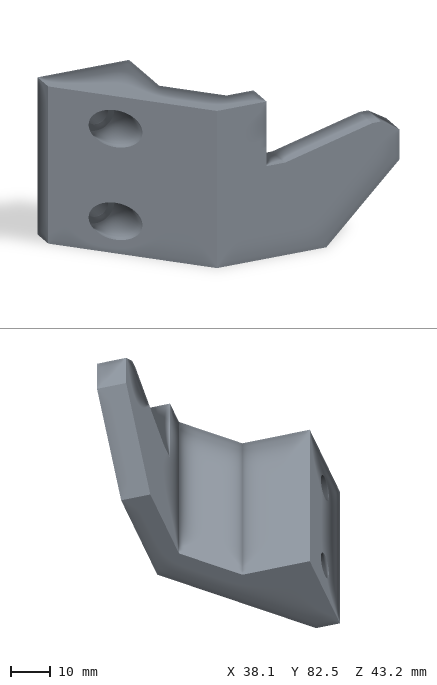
import cadquery as cq

width = 38.1
length = 82.55
height = 43.2

front_flat = 6.3
arm_thickness = 7.7
block_length = 25.4
web_rise = 12.7
arm_inner_x = width - arm_thickness
block_back_x = arm_inner_x - web_rise
slope_end_y = width - front_flat

step_y = 45.65
ledge_z = 25.4
ramp_start_y = 50.85
ramp_end_y = 74.95
nose_y = 77.4
nose_z = 31.7
tip_top_z = 28.6
underside_cut = 20.3

hole_diameter = 6.6
counterbore_diameter = 10.15
counterbore_floor_x = 7.6
hole_y = block_length / 2
hole_pitch = 25.4
lower_hole_z = 8.8


def plan_body():
    """Bent plan outline at full height."""
    outline = [
        (0, 0),
        (front_flat, 0),
        (width, slope_end_y),
        (width, length),
        (arm_inner_x, length),
        (arm_inner_x, block_length + web_rise),
        (block_back_x, block_length),
        (0, block_length),
    ]
    return cq.Workplane("XY").polyline(outline).close().extrude(height)


def side_envelope():
    """Side outline with the hooked arm, across the full width."""
    outline = [
        (0, 0),
        (length - underside_cut, 0),
        (length, underside_cut),
        (length, tip_top_z),
        (nose_y, nose_z),
        (ramp_end_y, nose_z),
        (ramp_start_y, ledge_z),
        (step_y, ledge_z),
        (step_y, height),
        (0, height),
    ]
    return cq.Workplane("YZ").polyline(outline).close().extrude(width)


def bore(diameter, start_x, z):
    """Cylinder along X from start_x out through the sloped face."""
    return (
        cq.Workplane("YZ", origin=(start_x, hole_y, z))
        .circle(diameter / 2)
        .extrude(width - start_x)
    )


result = plan_body().intersect(side_envelope())
for hole_z in (lower_hole_z, lower_hole_z + hole_pitch):
    result = result.cut(bore(hole_diameter, 0, hole_z))
    result = result.cut(bore(counterbore_diameter, counterbore_floor_x, hole_z))